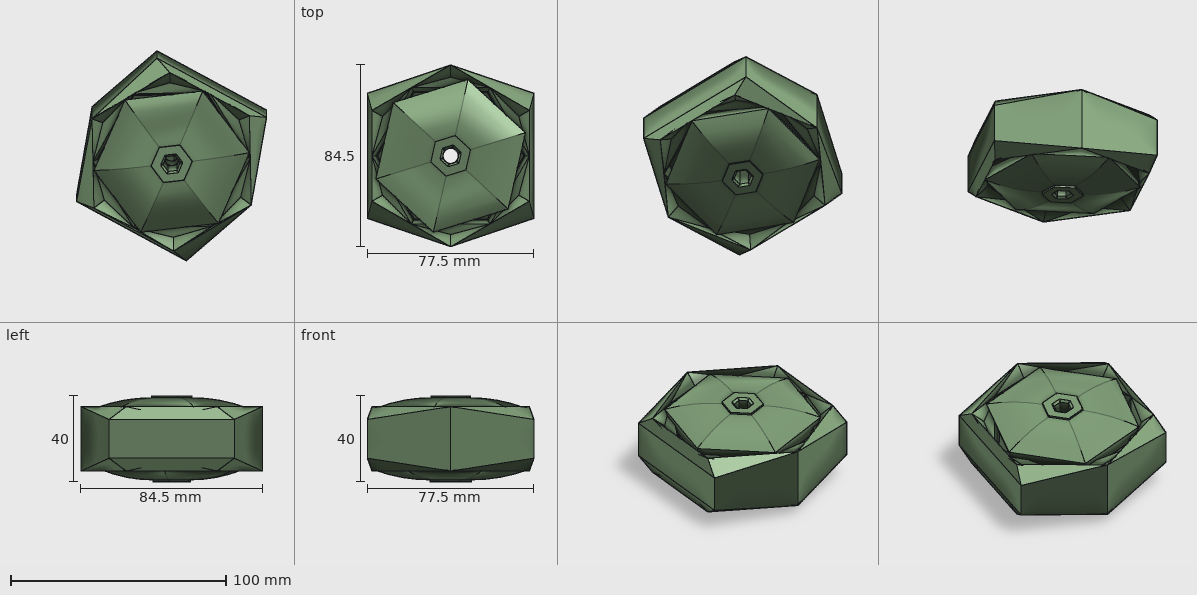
import cadquery as cq
import math

hexagon_ratio = math.cos(math.pi / 6)

ring_half_height = 15.0
rim_radius = 84.5 / 2
rim_apothem = rim_radius * hexagon_ratio
waist_half_width = 77.52 / 2
waist_corner_y = 29.1
waist_half_height = 9.0

ledge_z = 10.3
ledge_radius = rim_apothem

bore_apothem = ledge_radius * hexagon_ratio
bulge_radius = 28.0
hub_half_thickness = 3.0
step_size = 0.5

hub_boss_radius = 12.0
hub_bore_diameter = 7.0

cap_top_z = 20.0
cap_boss_radius = 9.65
cap_boss_height = 0.9
cap_rim_radius = 36.4
cap_rim_z = 14.2
cap_base_z = 5.5
cap_flare_angle = math.radians(17.5)
top_cap_angle = 17.2
bottom_cap_angle = -5.5
socket_apothem = hub_bore_diameter / 2
socket_chamfer = 1.0


def hexagon_point(radius, angle, z):
    turn = math.radians(angle)
    return (radius * math.cos(turn), radius * math.sin(turn), z)


def polyhedron(face_outlines):
    """Solid bounded by flat faces, each given by its corner points."""
    faces = []
    for outline in face_outlines:
        corners = [cq.Vector(*point) for point in outline]
        faces.append(cq.Face.makeFromWires(cq.Wire.makePolygon(corners, close=True)))
    return cq.Workplane(cq.Solid.makeSolid(cq.Shell.makeShell(faces)))


def hexagonal_solid(half_profile):
    """Solid with a regular hexagon at every height, two of its sides square to the X axis.

    The half profile is an XZ outline that starts and ends on the Z axis and gives the half
    width at each height. Mirrored and extruded along Y, it is the slab between two opposite
    sides, and three such slabs 60 degrees apart share the hexagonal solid.
    """
    slab = half_profile.mirrorY().extrude(2 * rim_radius, both=True)
    slabs = [slab.rotate((0, 0, 0), (0, 0, 1), 60 * i) for i in range(3)]
    return slabs[0].intersect(slabs[1]).intersect(slabs[2])


def hexagon_prism(apothem, height, base_z, taper=0.0):
    """Upright regular hexagon with two sides square to the X axis."""
    corner_diameter = 2 * apothem / hexagon_ratio
    base = cq.Workplane("XY").workplane(offset=base_z).polygon(6, corner_diameter)
    return base.extrude(height, taper=taper).rotate((0, 0, 0), (0, 0, 1), 30)


def ring_blank():
    faces = []
    for up in (1, -1):
        rim_z = up * ring_half_height
        waist_z = up * waist_half_height
        faces.append([hexagon_point(rim_radius, 30 + 60 * i, rim_z) for i in range(6)])
        for side in (1, -1):
            rim_x = side * rim_apothem
            rim_y = rim_radius / 2
            waist_x = side * waist_half_width
            faces.append([
                (rim_x, rim_y, rim_z),
                (rim_x, -rim_y, rim_z),
                (waist_x, -waist_corner_y, waist_z),
                (waist_x, waist_corner_y, waist_z),
            ])
            for end in (1, -1):
                faces.append([
                    (rim_x, end * rim_y, rim_z),
                    (waist_x, end * waist_corner_y, waist_z),
                    (0, end * rim_radius, rim_z),
                ])
    for side in (1, -1):
        waist_x = side * waist_half_width
        faces.append([
            (waist_x, waist_corner_y, waist_half_height),
            (waist_x, -waist_corner_y, waist_half_height),
            (waist_x, -waist_corner_y, -waist_half_height),
            (waist_x, waist_corner_y, -waist_half_height),
        ])
        for end in (1, -1):
            faces.append([
                (0, end * rim_radius, ring_half_height),
                (waist_x, end * waist_corner_y, waist_half_height),
                (waist_x, end * waist_corner_y, -waist_half_height),
                (0, end * rim_radius, -ring_half_height),
            ])
    return polyhedron(faces)


def ring_mouth():
    faces = [
        [hexagon_point(rim_radius, 30 + 60 * i, ring_half_height) for i in range(6)],
        [hexagon_point(ledge_radius, 30 * i, ledge_z) for i in range(12)],
    ]
    for i in range(6):
        middle = 60 * i
        ledge_middle = hexagon_point(ledge_radius, middle, ledge_z)
        rim_corners = [
            hexagon_point(rim_radius, middle + turn, ring_half_height) for turn in (-30, 30)
        ]
        faces.append([ledge_middle, *rim_corners])
        for turn, rim_corner in zip((-30, 30), rim_corners):
            ledge_corner = hexagon_point(ledge_radius, middle + turn, ledge_z)
            faces.append([ledge_middle, ledge_corner, rim_corner])
    return polyhedron(faces)


def bulge_apothem(z):
    """Half width of the bore between opposite walls at height z."""
    ledge_reach = math.sqrt(bulge_radius**2 - ledge_z**2)
    return bore_apothem + ledge_reach - math.sqrt(bulge_radius**2 - z**2)


step_z = hub_half_thickness + step_size
step_apothem = bulge_apothem(step_z)
hub_apothem = step_apothem - step_size


def ring_bore():
    arc_z = (ledge_z + step_z) / 2
    arc_x = bulge_apothem(arc_z)
    half_profile = (
        cq.Workplane("XZ")
        .moveTo(0, ledge_z)
        .lineTo(bore_apothem, ledge_z)
        .threePointArc((arc_x, arc_z), (step_apothem, step_z))
        .lineTo(hub_apothem, hub_half_thickness)
        .lineTo(hub_apothem, -hub_half_thickness)
        .lineTo(step_apothem, -step_z)
        .threePointArc((arc_x, -arc_z), (bore_apothem, -ledge_z))
        .lineTo(0, -ledge_z)
    )
    bore = hexagonal_solid(half_profile)
    return bore.rotate((0, 0, 0), (0, 0, 1), 30)


def make_ring():
    mouth = ring_mouth()
    return ring_blank().cut(mouth).cut(mouth.mirror("XY")).cut(ring_bore())


def make_hub():
    plate = hexagon_prism(hub_apothem, 2 * hub_half_thickness, -hub_half_thickness)
    plate = plate.rotate((0, 0, 0), (0, 0, 1), 30)
    boss = cq.Workplane("XY").circle(hub_boss_radius).extrude(cap_base_z, both=True)
    bore = cq.Workplane("XY").circle(hub_bore_diameter / 2).extrude(cap_base_z, both=True)
    return plate.union(boss).cut(bore)


def make_cap(angle):
    """Cap above the hub, with one of its corners turned to the given angle about Z."""
    boss_apothem = cap_boss_radius * hexagon_ratio
    cap_rim_apothem = cap_rim_radius * hexagon_ratio
    base_apothem = cap_rim_apothem - (cap_rim_z - cap_base_z) * math.tan(cap_flare_angle)
    dome_z = cap_top_z - cap_boss_height

    arc_run = cap_rim_apothem - boss_apothem
    arc_drop = dome_z - cap_rim_z
    dome_radius = (arc_run**2 + arc_drop**2) / (2 * arc_drop)
    arc_x = boss_apothem + arc_run / 2
    arc_z = dome_z - dome_radius + math.sqrt(dome_radius**2 - (arc_run / 2) ** 2)
    half_profile = (
        cq.Workplane("XZ")
        .moveTo(0, dome_z)
        .lineTo(boss_apothem, dome_z)
        .threePointArc((arc_x, arc_z), (cap_rim_apothem, cap_rim_z))
        .lineTo(base_apothem, cap_base_z)
        .lineTo(0, cap_base_z)
    )
    dome = hexagonal_solid(half_profile)
    boss = hexagon_prism(boss_apothem, cap_boss_height, dome_z)

    hole = hexagon_prism(socket_apothem, cap_top_z - cap_base_z, cap_base_z)
    chamfer = hexagon_prism(socket_apothem, socket_chamfer, cap_top_z - socket_chamfer, taper=-45)
    cap = dome.union(boss).cut(hole).cut(chamfer)
    return cap.rotate((0, 0, 0), (0, 0, 1), angle - 30)


hub = make_hub()
top_cap = make_cap(top_cap_angle)
bottom_cap = make_cap(bottom_cap_angle).mirror("XY")
ring = make_ring().cut(top_cap).cut(bottom_cap)

bodies = [ring, hub, top_cap, bottom_cap]
result = cq.Compound.makeCompound([body.solids().val() for body in bodies])